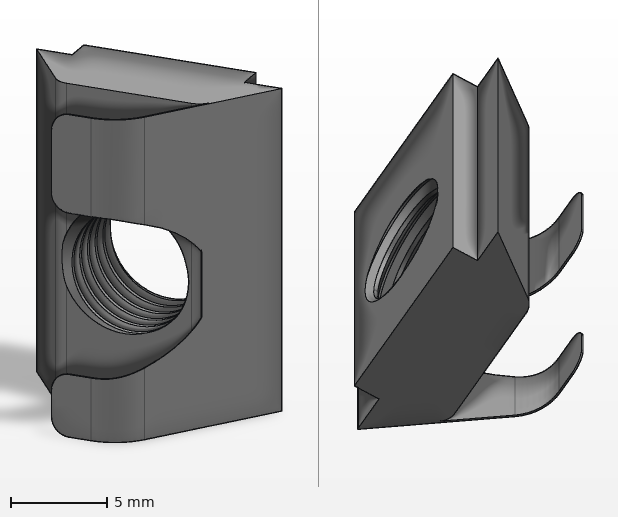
import cadquery as cq
import math

LENGTH = 18.0
DEPTH = 5.3
HALF_WIDTH = 6.89
STEP_HALF_WIDTH = 4.87
STEP_HEIGHT = 1.5
SLOPE_ANGLE = 53.0
CORNER_RADIUS = 1.0

HOLE_Z = -1.0
PITCH = 1.0
MAJOR_RADIUS = 3.9
FLANK_ANGLE = 30.0
ROOT_WIDTH = PITCH / 8
THREAD_HEIGHT = 5 / 8 * PITCH * math.cos(math.radians(FLANK_ANGLE))
MINOR_RADIUS = MAJOR_RADIUS - THREAD_HEIGHT
THREAD_START_ANGLE = 152.0
CUTTER_OVERLAP = 0.05

SHEET = 0.1
TOTAL_DEPTH = 9.3
TIP_OVERHANG = 0.05
BEND_RADIUS = 3.1
TAB_END_X = -2.65
TAB_CORNER_RADIUS = 1.0
WINDOW_RADIUS = 4.5
WINDOW_EDGE_X = 4.13

slope = math.radians(SLOPE_ANGLE)
along = cq.Vector(math.cos(slope), math.sin(slope), 0)
outward = cq.Vector(math.sin(slope), -math.cos(slope), 0)
corner = cq.Vector(HALF_WIDTH, -STEP_HEIGHT, 0)
sheet_tip = corner + along * TIP_OVERHANG


def extrude_full_length(section):
    """Extrude a closed XY section over the length of the nut, centred on z = 0."""
    return section.extrude(LENGTH / 2, both=True)


def make_body():
    front_half_width = HALF_WIDTH - (DEPTH - STEP_HEIGHT) / math.tan(slope)
    section = cq.Workplane("XY").polyline([
        (-STEP_HALF_WIDTH, 0),
        (-STEP_HALF_WIDTH, -STEP_HEIGHT),
        (-HALF_WIDTH, -STEP_HEIGHT),
        (-front_half_width, -DEPTH),
        (front_half_width, -DEPTH),
        (HALF_WIDTH, -STEP_HEIGHT),
        (STEP_HALF_WIDTH, -STEP_HEIGHT),
        (STEP_HALF_WIDTH, 0),
    ]).close()
    return extrude_full_length(section).edges("|Z").edges("<Y").fillet(CORNER_RADIUS)


def make_thread_cutter():
    """Helical groove, built along local Z and turned so its axis points from front to back."""
    height = DEPTH + 2 * PITCH
    inner_radius = MINOR_RADIUS - CUTTER_OVERLAP
    half_root = ROOT_WIDTH / 2
    half_mouth = half_root + (MAJOR_RADIUS - inner_radius) * math.tan(math.radians(FLANK_ANGLE))
    path = cq.Wire.makeHelix(PITCH, height, MAJOR_RADIUS)
    groove = (
        cq.Workplane("XZ")
        .polyline([
            (inner_radius, -half_mouth),
            (MAJOR_RADIUS, -half_root),
            (MAJOR_RADIUS, half_root),
            (inner_radius, half_mouth),
        ])
        .close()
        .sweep(cq.Workplane(path), isFrenet=True)
    )
    return (
        groove.rotate((0, 0, 0), (1, 0, 0), -90)
        .rotate((0, 0, 0), (0, 1, 0), -THREAD_START_ANGLE)
        .translate((0, -DEPTH - PITCH, HOLE_Z))
    )


def make_hole():
    return (
        cq.Workplane("XZ", origin=(0, 0, HOLE_Z))
        .circle(MINOR_RADIUS)
        .extrude(DEPTH)
    )


def make_grip():
    """Full-length strip of sheet on the flank, from the dovetail corner to the opening."""
    grip_length = (sheet_tip.x + SHEET * outward.x - WINDOW_EDGE_X) / along.x
    grip_end = sheet_tip - along * grip_length
    section = cq.Workplane("XY").polyline([
        sheet_tip.toTuple(),
        (sheet_tip + outward * SHEET).toTuple(),
        (grip_end + outward * SHEET).toTuple(),
        grip_end.toTuple(),
    ]).close()
    return extrude_full_length(section)


def make_spring():
    """Bent sheet with two tabs, left over either side of the opening around the hole."""
    inner_radius = BEND_RADIUS - SHEET
    bend_y = BEND_RADIUS - TOTAL_DEPTH
    offset_tip = sheet_tip - outward * inner_radius
    bend_centre = offset_tip - along * ((offset_tip.y - bend_y) / along.y)
    forward = cq.Vector(0, -1, 0)
    middle = cq.Vector(math.sin(slope / 2), -math.cos(slope / 2), 0)

    def on_bend(direction, radius):
        return (bend_centre + direction * radius).toTuple()

    section = (
        cq.Workplane("XY")
        .moveTo(TAB_END_X, -TOTAL_DEPTH)
        .lineTo(bend_centre.x, -TOTAL_DEPTH)
        .threePointArc(on_bend(middle, BEND_RADIUS), on_bend(outward, BEND_RADIUS))
        .lineTo(sheet_tip.x + SHEET * outward.x, sheet_tip.y + SHEET * outward.y)
        .lineTo(sheet_tip.x, sheet_tip.y)
        .lineTo(*on_bend(outward, inner_radius)[:2])
        .threePointArc(on_bend(middle, inner_radius), on_bend(forward, inner_radius))
        .lineTo(TAB_END_X, SHEET - TOTAL_DEPTH)
        .close()
    )
    opening_plane = cq.Workplane("XZ", origin=(0, 0, HOLE_Z))
    round_part = opening_plane.circle(WINDOW_RADIUS).extrude(TOTAL_DEPTH)
    open_side = (
        opening_plane.rect(-2 * WINDOW_RADIUS, 2 * WINDOW_RADIUS, centered=(False, True))
        .extrude(TOTAL_DEPTH)
    )
    sheet = extrude_full_length(section).cut(round_part).cut(open_side)
    return sheet.edges("|Y").edges("<X").fillet(TAB_CORNER_RADIUS)


body = make_body().cut(make_thread_cutter()).cut(make_hole())
result = body.union(make_grip()).union(make_spring())